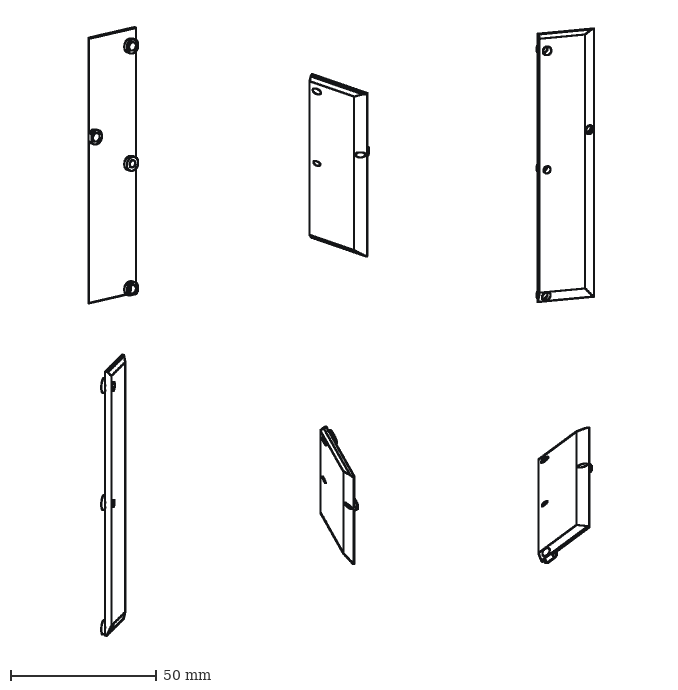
import cadquery as cq

length = 95.0
width = 20.7
plate_thickness = 2.3
boss_height = 1.4

side_bevel_run = 4.0
side_bevel_depth = 1.8
bottom_bevel_run = 3.7
bottom_bevel_depth = 1.7
top_chamfer = 1.2

boss_diameter = 5.0
large_hole = 3.0
small_hole = 2.5
edge_distance = 2.0
column_y = width - 2.8
mounts = [
    (column_y, length - 5.8, large_hole),
    (edge_distance, length - 35.4, large_hole),
    (column_y, 47.0, small_hole),
    (column_y, edge_distance, large_hole),
]


def block(thickness):
    """Box over the full plate outline, starting at X = 0."""
    return cq.Workplane("XY").box(thickness, width, length, centered=False)


def cylinder(diameter, y, z, start, height):
    """Cylinder along X."""
    return cq.Workplane("YZ", origin=(start, y, z)).circle(diameter / 2).extrude(height)


def beveled_plate():
    side_wedge = (
        cq.Workplane("XY")
        .polyline([(0, 0), (side_bevel_depth, 0), (0, side_bevel_run)])
        .close()
        .extrude(length)
    )
    bottom_wedge = (
        cq.Workplane("XZ")
        .polyline([(0, 0), (bottom_bevel_depth, 0), (0, bottom_bevel_run)])
        .close()
        .extrude(-width)
    )
    top_wedge = (
        cq.Workplane("XZ")
        .polyline([(0, length), (top_chamfer, length), (0, length - top_chamfer)])
        .close()
        .extrude(-width)
    )
    return block(plate_thickness).cut(side_wedge).cut(bottom_wedge).cut(top_wedge)


total_thickness = plate_thickness + boss_height
envelope = block(total_thickness)

result = beveled_plate()
for y, z, hole in mounts:
    boss = cylinder(boss_diameter, y, z, plate_thickness, boss_height)
    result = result.union(boss.intersect(envelope))
for y, z, hole in mounts:
    result = result.cut(cylinder(hole, y, z, 0, total_thickness))